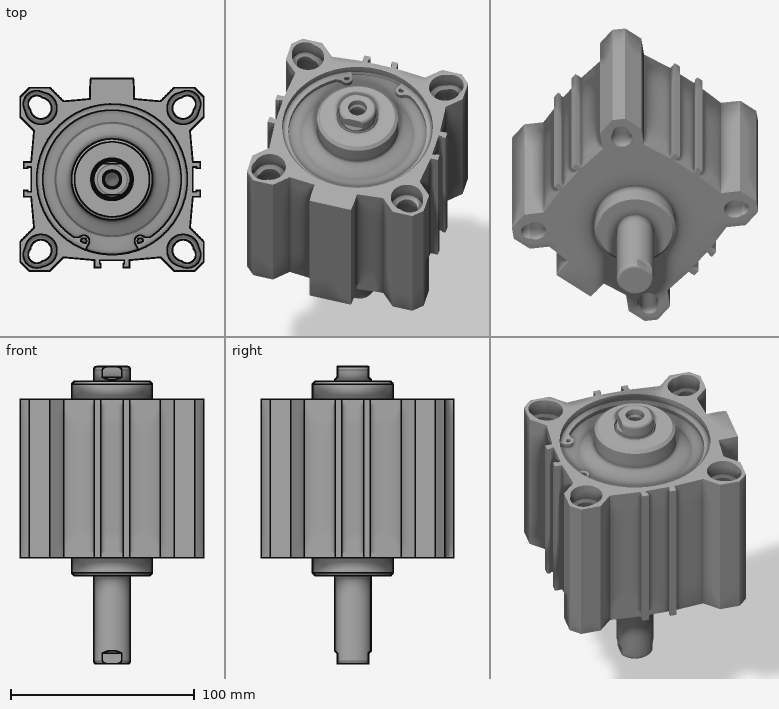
import cadquery as cq
import math


housing_height = 86.3
width_over_lugs = 100.0
half_width = width_over_lugs / 2
lug_corner_chamfer = 5.0
lug_inner_end = 33.9
lug_step = 7.5
waist_half = half_width - lug_step
side_half = 44.0
port_projection = 5.0
port_top = half_width + port_projection
port_root_half_width = 12.0
port_tip_half_width = 11.7
port_draft_start = 50.5

rail_outer_face = 9.5
rail_web_width = 2.9
rail_head_width = 3.5
rail_tip = 48.1
rail_head_height = 2.1

bolt_offset = 41.0
bolt_diameter = 9.2
bolt_counterbore = 14.5
thread_offset = 38.7
thread_diameter = 11.5
thread_counterbore = 17.5
lug_counterbore_depth = 9.4

collar_diameter = 44.0
collar_height = 9.9
collar_chamfer = 1.6

seat_diameter = 82.1
cover_diameter = 81.6
cover_floor_depth = 6.8
cover_thickness = 13.0
cone_outer_diameter = 61.7
cone_top_depth = 2.0
cover_fillet = 1.0

ring_thickness = 2.6
ring_outer_diameter = 85.5
ring_inner_diameter = 75.5
ear_x = 15.4
ear_y = -33.5
ear_radius = 3.0
ear_hole_diameter = 3.0
ear_shoulder_y = -31.5
ring_end_inner = (12.5, -34.7)
ring_end_outer = (16.7, -42.8)

rod_diameter = 20.0
rod_above_collar = 8.0
rod_below_collar = 48.0
rod_end_fillet = 1.8
flat_spacing = 17.0
flat_length = 5.8
rod_hole_mouth_diameter = 10.2
rod_hole_mouth_depth = 3.7
rod_hole_diameter = 8.5
rod_hole_depth = 19.5
drill_point_angle = 118

seal_diameter = 23.0
seal_height = 4.0
lip_base_diameter = 21.9
lip_tip_diameter = 20.5
lip_tip_depth = 0.5
lip_base_depth = 1.6

cover_floor_z = housing_height - cover_floor_depth
seat_z = cover_floor_z - cover_thickness
collar_top_z = housing_height + collar_height
rod_top_z = collar_top_z + rod_above_collar
rod_bottom_z = -collar_height - rod_below_collar


def cylinder(diameter, bottom, top):
    return cq.Workplane("XY").workplane(offset=bottom).circle(diameter / 2).extrude(top - bottom)


def prism(points, bottom, top):
    return cq.Workplane("XY").workplane(offset=bottom).polyline(points).close().extrude(top - bottom)


def turned(half_section):
    """Solid of revolution about Z from (radius, z) points."""
    return cq.Workplane("XZ").polyline(half_section).close().revolve(360, (0, 0), (0, 1))


def housing_block():
    """Four-lugged profile: one side of the outline, turned to all four sides."""
    side = [
        (-half_width + lug_corner_chamfer, -half_width),
        (-lug_inner_end, -half_width),
        (-lug_inner_end + lug_step, -waist_half),
        (-rail_outer_face, -side_half),
        (rail_outer_face, -side_half),
        (lug_inner_end - lug_step, -waist_half),
        (lug_inner_end, -half_width),
        (half_width - lug_corner_chamfer, -half_width),
    ]
    outline = []
    for turn in range(4):
        c = round(math.cos(turn * math.pi / 2))
        s = round(math.sin(turn * math.pi / 2))
        outline += [(c * x - s * y, s * x + c * y) for x, y in side]
    return prism(outline, 0, housing_height)


def sensor_rails():
    """Pair of hooked rails on the -Y side, their heads facing each other."""
    neck = rail_tip - rail_head_height
    web_inner = rail_outer_face - rail_web_width
    head_inner = rail_outer_face - rail_head_width
    hook = [
        (rail_outer_face, -waist_half),
        (rail_outer_face, -rail_tip),
        (head_inner, -rail_tip),
        (head_inner, -neck),
        (web_inner, -neck),
        (web_inner, -waist_half),
    ]
    rail = prism(hook, 0, housing_height)
    return rail.union(rail.mirror("YZ"))


def port_boss():
    """Full-height boss on the +Y side, slightly narrower at its tip."""
    outline = [
        (-port_root_half_width, waist_half),
        (-port_root_half_width, port_draft_start),
        (-port_tip_half_width, port_top),
        (port_tip_half_width, port_top),
        (port_root_half_width, port_draft_start),
        (port_root_half_width, waist_half),
    ]
    return prism(outline, 0, housing_height)


def lug_holes():
    """Bolt hole and overlapping thread hole in each lug, both counterbored from the top."""
    counterbore_z = housing_height - lug_counterbore_depth
    cutters = cq.Workplane("XY")
    for side_x in (-1, 1):
        for side_y in (-1, 1):
            for offset, hole, counterbore in (
                (bolt_offset, bolt_diameter, bolt_counterbore),
                (thread_offset, thread_diameter, thread_counterbore),
            ):
                centre = (side_x * offset, side_y * offset, 0)
                cutters = cutters.union(cylinder(hole, 0, housing_height).translate(centre))
                cutters = cutters.union(
                    cylinder(counterbore, counterbore_z, housing_height).translate(centre)
                )
    return cutters


def make_housing():
    """Housing with its lower collar, cover seat, snap ring groove and rod bore."""
    body = housing_block().union(port_boss())
    for angle in (0, 90, -90):
        body = body.union(sensor_rails().rotate((0, 0, 0), (0, 0, 1), angle))
    collar = cylinder(collar_diameter, -collar_height, 0).faces("<Z").chamfer(collar_chamfer)
    body = body.union(collar).cut(lug_holes())
    body = body.cut(cylinder(seat_diameter, seat_z, housing_height))
    body = body.cut(cylinder(ring_outer_diameter, cover_floor_z, cover_floor_z + ring_thickness))
    return body.cut(cylinder(rod_diameter, -collar_height, seat_z))


def make_cover():
    """Turned end cover: flat rim, cone rising to the collar, bore and seal pocket."""
    cone_top_z = housing_height - cone_top_depth
    half_section = [
        (0, seat_z),
        (cover_diameter / 2, seat_z),
        (cover_diameter / 2, cover_floor_z),
        (cone_outer_diameter / 2, cover_floor_z),
        (collar_diameter / 2, cone_top_z),
        (collar_diameter / 2, collar_top_z),
        (0, collar_top_z),
    ]
    cover = turned(half_section)
    cover = cover.faces(">Z").chamfer(collar_chamfer)
    for radius, level in ((cone_outer_diameter / 2, cover_floor_z), (collar_diameter / 2, cone_top_z)):
        corner = cover.edges("%CIRCLE").filter(
            lambda edge: math.isclose(edge.radius(), radius) and math.isclose(edge.Center().z, level)
        )
        cover = corner.fillet(cover_fillet)
    cover = cover.cut(cylinder(rod_diameter, seat_z, collar_top_z))
    return cover.cut(cylinder(seal_diameter, collar_top_z - seal_height, collar_top_z))


def make_snap_ring():
    """Internal snap ring whose open ends carry ears with plier holes."""
    bottom = cover_floor_z
    top = cover_floor_z + ring_thickness
    ring = cylinder(ring_outer_diameter, bottom, top).cut(cylinder(ring_inner_diameter, bottom, top))
    gap = [
        (-ring_end_inner[0], ring_end_inner[1]),
        ring_end_inner,
        ring_end_outer,
        (-ring_end_outer[0], ring_end_outer[1]),
    ]
    ring = ring.cut(prism(gap, bottom, top))
    shoulder_x = math.sqrt((ring_inner_diameter / 2) ** 2 - ear_shoulder_y**2)
    root_angle = math.atan2(ear_shoulder_y, shoulder_x)
    band_radius = (ring_inner_diameter + ring_outer_diameter) / 4
    ear_root = (band_radius * math.cos(root_angle), band_radius * math.sin(root_angle))
    ring_end_middle = (
        (ring_end_inner[0] + ring_end_outer[0]) / 2,
        (ring_end_inner[1] + ring_end_outer[1]) / 2,
    )
    ear_outline = [
        (ear_x, ear_shoulder_y),
        (shoulder_x, ear_shoulder_y),
        ear_root,
        ring_end_middle,
        ring_end_inner,
        (ear_x, ear_y),
    ]
    ear = prism(ear_outline, bottom, top)
    ear = ear.union(cylinder(2 * ear_radius, bottom, top).translate((ear_x, ear_y, 0)))
    ear = ear.cut(cylinder(ear_hole_diameter, bottom, top).translate((ear_x, ear_y, 0)))
    return ring.union(ear).union(ear.mirror("YZ"))


def wrench_flat():
    """Cutter for the flat on the +Y side at the rod's top end, running out at 45 degrees."""
    flat_y = flat_spacing / 2
    clear_y = rod_diameter
    flat_end_z = rod_top_z - flat_length
    section = [
        (flat_y, rod_top_z),
        (flat_y, flat_end_z),
        (clear_y, flat_end_z - (clear_y - flat_y)),
        (clear_y, rod_top_z),
    ]
    return cq.Workplane("YZ").polyline(section).close().extrude(rod_diameter / 2, both=True)


def rod_end_hole():
    """Cutter for the blind hole in the rod's top: wide mouth, 45 degree shoulder, drill point."""
    mouth_radius = rod_hole_mouth_diameter / 2
    hole_radius = rod_hole_diameter / 2
    mouth_z = rod_top_z - rod_hole_mouth_depth
    shoulder_z = mouth_z - (mouth_radius - hole_radius)
    hole_z = rod_top_z - rod_hole_depth
    point_length = hole_radius / math.tan(math.radians(drill_point_angle / 2))
    half_section = [
        (0, rod_top_z),
        (mouth_radius, rod_top_z),
        (mouth_radius, mouth_z),
        (hole_radius, shoulder_z),
        (hole_radius, hole_z),
        (0, hole_z - point_length),
    ]
    return turned(half_section)


def make_rod():
    """Through rod with filleted ends and a pair of wrench flats at each end."""
    rod = cylinder(rod_diameter, rod_bottom_z, rod_top_z)
    rod = rod.faces("<Z or >Z").edges().fillet(rod_end_fillet)
    middle = (0, 0, (rod_top_z + rod_bottom_z) / 2)
    for flat in (wrench_flat(), wrench_flat().mirror("XZ")):
        rod = rod.cut(flat).cut(flat.mirror("XY", middle))
    return rod.cut(rod_end_hole())


def make_seal():
    """Wiper seal filling the cover's pocket, with a tapered lip against the rod."""
    lip_tip_z = collar_top_z - lip_tip_depth
    lip_base_z = collar_top_z - lip_base_depth
    section = [
        (rod_diameter / 2, collar_top_z - seal_height),
        (seal_diameter / 2, collar_top_z - seal_height),
        (seal_diameter / 2, lip_base_z),
        (lip_base_diameter / 2, lip_base_z),
        (lip_tip_diameter / 2, lip_tip_z),
        (rod_diameter / 2, lip_tip_z),
    ]
    return turned(section)


housing = make_housing()
cover = make_cover()
snap_ring = make_snap_ring()
rod = make_rod()
seal = make_seal()

result = cq.Compound.makeCompound(
    [housing.val(), cover.val(), snap_ring.val(), rod.val(), seal.val()]
)